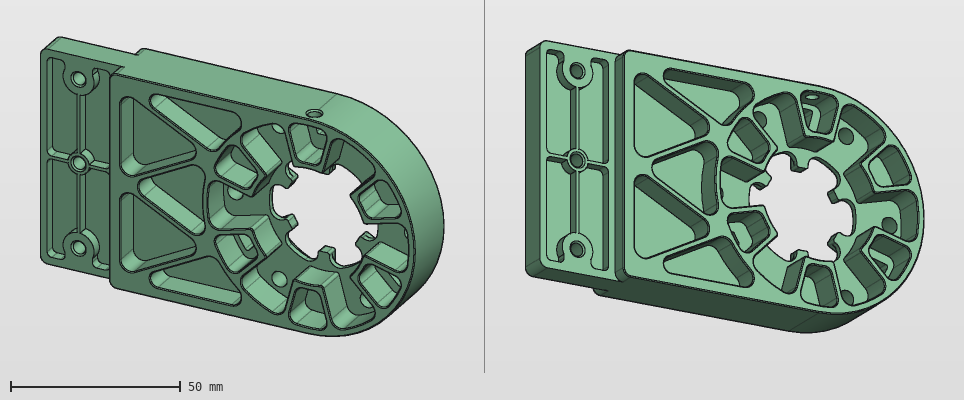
import cadquery as cq
import math


LENGTH = 127.0
HEIGHT = 71.1
THICKNESS = 19.0
HUB_RADIUS = HEIGHT / 2
LEFT_END = HUB_RADIUS - LENGTH
FRONT = -THICKNESS / 2
BACK = THICKNESS / 2
CORNER_RADIUS = 2.5
EDGE_CHAMFER = 0.32
WALL = 1.9

TAB_LENGTH = 25.4
TAB_THICKNESS = 8.9
TAB_FRONT = -TAB_THICKNESS / 2
TAB_BACK = TAB_THICKNESS / 2
TAB_POCKET_DEPTH = 3.4
TAB_HOLE_X = LEFT_END + TAB_LENGTH / 2
TAB_HOLE_PITCH = 28.0
SCREW_DIAMETER = 4.1
COUNTERSINK_DIAMETER = 5.1
COUNTERSINK_DEPTH = (COUNTERSINK_DIAMETER - SCREW_DIAMETER) / 2
END_BOSS_DIAMETER = 10.3
MIDDLE_BOSS_DIAMETER = 7.1
TAB_RIB = 1.0
TAB_POCKET_HALF_SPAN = 10.4
TAB_POCKET_TOP = 33.0
TAB_NECK_HALF_WIDTH = 4.6
TAB_POCKET_RADIUS = 1.5

RECESS_RADIUS = 33.3
RECESS_DEPTH = 10.2
RECESS_FLOOR = FRONT + RECESS_DEPTH
RECESS_CORNER_RADIUS = 3.2
SOCKET_COUNT = 6
SOCKET_STEP = 360 / SOCKET_COUNT
SOCKET_HALF_ANGLE = 15.0
SOCKET_CORNER_RADIUS = 2.5
BLOCK_INNER_RADIUS = 19.0
BLOCK_CORNER_RADIUS = 1.0
LOBE_INNER_RADIUS = 1.3
BORE_RADIUS = 18.0
BORE_CORNER_RADIUS = 3.2
TOOTH_TIP_RADIUS = 13.0
TOOTH_WIDTH = 3.8
TOOTH_TIP_FILLET = 0.8
TOOTH_THICKNESS = 3.8
HUB_WEB = 1.9
COUNTERBORE_DIAMETER = 45.7
BOLT_CIRCLE_RADIUS = 29.3
BOLT_DIAMETER = 5.1

WINDOW_INNER_RADIUS = 25.8
WINDOW_OUTER_RADIUS = 31.6
WINDOW_SIDE_INSET = 4.7
WINDOW_CORNER_RADIUS = 0.8
WINDOW_ANGLES = (90, 210, 330)

TRIANGLE_DEPTH = 8.3
TRIANGLE_CORNER_RADIUS = 3.2
TRUSS_SLOPE = math.tan(math.radians(27.6))
RIB_RISE = WALL * math.hypot(1, TRUSS_SLOPE)
SIDE_TRIANGLE_LEFT = LEFT_END + 29.2
SIDE_TRIANGLE_APEX = LEFT_END + 57.8
SIDE_TRIANGLE_Z = 15.9
TRIANGLE_TOP = 31.9
OUTER_TIP_RADIUS = 2.5

CROSS_HOLE_Y = -5.2
CROSS_HOLE_BOTTOM = RECESS_RADIUS - WALL


def front_plane(y):
    return cq.Workplane("XZ", origin=(0, y, 0))


def cylinder(x, z, diameter, y_front, y_back):
    return front_plane(y_back).center(x, z).circle(diameter / 2).extrude(y_back - y_front)


def box(x_min, x_max, z_min, z_max, y_front, y_back):
    size = (x_max - x_min, y_back - y_front, z_max - z_min)
    return cq.Workplane("XY", origin=(x_min, y_front, z_min)).box(*size, centered=False)


def prism(points, y_front, y_back):
    return front_plane(y_back).polyline(points).close().extrude(y_back - y_front)


def turned(solid, angle):
    """Turn a solid from the +X direction to the given angle, counted toward +Z."""
    return solid.rotate((0, 0, 0), (0, 1, 0), -angle)


def fillet_at_radius(solid, radius, fillet_radius):
    """Round the edges along Y that lie at the given distance from the hub axis."""
    corners = [
        edge
        for edge in solid.edges("|Y").vals()
        if abs(math.hypot(edge.Center().x, edge.Center().z) - radius) < 0.1
    ]
    return solid.newObject(corners).fillet(fillet_radius)


def wedge(half_angle, inset, r_inner, r_outer, y_front, y_back):
    """Ring sector about +X whose two straight sides are moved inward by inset."""
    apex = inset / math.sin(math.radians(half_angle))
    reach = 2 * r_outer
    rise = (reach - apex) * math.tan(math.radians(half_angle))
    sector = prism([(apex, 0), (reach, rise), (reach, -rise)], y_front, y_back)
    sector = sector.intersect(cylinder(0, 0, 2 * r_outer, y_front, y_back))
    return sector.cut(cylinder(0, 0, 2 * r_inner, y_front, y_back))


def make_body_blank():
    body = box(LEFT_END + TAB_LENGTH, 0, -HEIGHT / 2, HEIGHT / 2, FRONT, BACK)
    body = body.edges("|Y and <X").fillet(CORNER_RADIUS)
    return body.union(cylinder(0, 0, HEIGHT, FRONT, BACK))


def make_tab_blank():
    right_end = LEFT_END + TAB_LENGTH + CORNER_RADIUS
    tab = box(LEFT_END, right_end, -HEIGHT / 2, HEIGHT / 2, TAB_FRONT, TAB_BACK)
    return tab.edges("|Y and <X").fillet(CORNER_RADIUS)


def make_hub_recess():
    recess = cylinder(0, 0, 2 * BLOCK_INNER_RADIUS, FRONT, RECESS_FLOOR)
    lobe = wedge(SOCKET_HALF_ANGLE, 0, LOBE_INNER_RADIUS, RECESS_RADIUS, FRONT, RECESS_FLOOR)
    lobe = lobe.edges("|Y").edges(">X").fillet(RECESS_CORNER_RADIUS)
    for index in range(SOCKET_COUNT):
        recess = recess.union(turned(lobe, index * SOCKET_STEP))
    return fillet_at_radius(recess, BLOCK_INNER_RADIUS, BLOCK_CORNER_RADIUS)


def make_sockets():
    inner_radius = BLOCK_INNER_RADIUS + WALL
    socket = wedge(SOCKET_HALF_ANGLE, WALL, inner_radius, RECESS_RADIUS, FRONT, RECESS_FLOOR)
    socket = socket.edges("|Y").fillet(SOCKET_CORNER_RADIUS)
    sockets = cq.Workplane()
    for index in range(SOCKET_COUNT):
        sockets = sockets.add(turned(socket, (index + 0.5) * SOCKET_STEP))
    return sockets.combine()


def make_toothed_bore(radius, y_front, y_back):
    """Round bore that leaves a tooth standing at every socket."""
    bore = cylinder(0, 0, 2 * radius, y_front, y_back)
    tooth = box(0, HUB_RADIUS, -TOOTH_WIDTH / 2, TOOTH_WIDTH / 2, y_front, y_back)
    tooth = tooth.cut(cylinder(0, 0, 2 * TOOTH_TIP_RADIUS, y_front, y_back))
    tooth = tooth.edges("|Y").edges("<X").fillet(TOOTH_TIP_FILLET)
    for index in range(SOCKET_COUNT):
        bore = bore.cut(turned(tooth, (index + 0.5) * SOCKET_STEP))
    return fillet_at_radius(bore, radius, BORE_CORNER_RADIUS)


def make_windows():
    window = wedge(
        SOCKET_HALF_ANGLE, WINDOW_SIDE_INSET, WINDOW_INNER_RADIUS, WINDOW_OUTER_RADIUS, FRONT, BACK
    )
    window = window.edges("|Y").fillet(WINDOW_CORNER_RADIUS)
    windows = cq.Workplane()
    for angle in WINDOW_ANGLES:
        windows = windows.add(turned(window, angle))
    return windows.combine()


def make_triangles():
    floor = FRONT + TRIANGLE_DEPTH
    ring = cylinder(0, 0, 2 * (RECESS_RADIUS + WALL), FRONT, floor)

    side_half = (SIDE_TRIANGLE_APEX - SIDE_TRIANGLE_LEFT) * TRUSS_SLOPE
    side_points = [
        (SIDE_TRIANGLE_APEX, SIDE_TRIANGLE_Z),
        (SIDE_TRIANGLE_LEFT, SIDE_TRIANGLE_Z + side_half),
        (SIDE_TRIANGLE_LEFT, SIDE_TRIANGLE_Z - side_half),
    ]
    side = prism(side_points, FRONT, floor)
    side = side.edges("|Y").fillet(TRIANGLE_CORNER_RADIUS)

    middle_apex = SIDE_TRIANGLE_APEX - (SIDE_TRIANGLE_Z - RIB_RISE) / TRUSS_SLOPE
    middle_half = -middle_apex * TRUSS_SLOPE
    middle = prism([(middle_apex, 0), (0, middle_half), (0, -middle_half)], FRONT, floor).cut(ring)
    middle = middle.edges("|Y").fillet(TRIANGLE_CORNER_RADIUS)

    outer_apex = SIDE_TRIANGLE_APEX + (SIDE_TRIANGLE_Z + RIB_RISE - TRIANGLE_TOP) / TRUSS_SLOPE
    outer_drop = TRIANGLE_TOP + outer_apex * TRUSS_SLOPE
    outer_points = [(outer_apex, TRIANGLE_TOP), (0, TRIANGLE_TOP), (0, outer_drop)]
    outer = prism(outer_points, FRONT, floor).cut(ring)
    outer = outer.edges("|Y").edges("<X").fillet(OUTER_TIP_RADIUS)
    outer = outer.edges("|Y").edges(">X or <Z").fillet(TRIANGLE_CORNER_RADIUS)

    pockets = cq.Workplane().add(middle)
    for pocket in (side, outer):
        pockets = pockets.add(pocket).add(pocket.mirror("XY"))
    return pockets.combine()


def make_tab_pockets():
    floor = TAB_FRONT + TAB_POCKET_DEPTH
    rib_side = TAB_HOLE_X + TAB_RIB / 2
    outer_side = TAB_HOLE_X + TAB_POCKET_HALF_SPAN
    neck_side = TAB_HOLE_X + TAB_NECK_HALF_WIDTH
    pocket = box(rib_side, outer_side, TAB_RIB / 2, TAB_POCKET_TOP, TAB_FRONT, floor)
    pocket = pocket.cut(box(rib_side, neck_side, TAB_HOLE_PITCH, HEIGHT, TAB_FRONT, floor))
    pocket = pocket.edges("|Y").edges(">X or >Z").fillet(TAB_POCKET_RADIUS)
    pocket = pocket.cut(cylinder(TAB_HOLE_X, TAB_HOLE_PITCH, END_BOSS_DIAMETER, TAB_FRONT, floor))
    pocket = pocket.cut(cylinder(TAB_HOLE_X, 0, MIDDLE_BOSS_DIAMETER, TAB_FRONT, floor))
    pair = pocket.union(pocket.mirror("YZ", (TAB_HOLE_X, 0, 0)))
    return pair.union(pair.mirror("XY"))


def make_bolt_holes():
    holes = cq.Workplane()
    for index in range(SOCKET_COUNT):
        angle = math.radians(index * SOCKET_STEP)
        x = BOLT_CIRCLE_RADIUS * math.cos(angle)
        z = BOLT_CIRCLE_RADIUS * math.sin(angle)
        holes = holes.add(cylinder(x, z, BOLT_DIAMETER, FRONT, BACK))
    return holes.combine()


def countersunk_hole(mouth_plane, depth):
    """Screw hole with a conical mouth; the plane's normal points out of the material."""
    hole = mouth_plane.circle(SCREW_DIAMETER / 2).extrude(-depth)
    cone = (
        mouth_plane.circle(COUNTERSINK_DIAMETER / 2)
        .workplane(offset=-COUNTERSINK_DEPTH)
        .circle(SCREW_DIAMETER / 2)
        .loft()
    )
    return hole.union(cone)


body = make_body_blank()
body = body.cut(make_triangles())
body = body.cut(make_hub_recess())
body = body.cut(make_sockets())
body = body.faces("<Y or >Y").edges().chamfer(EDGE_CHAMFER)

tab = make_tab_blank().cut(make_tab_pockets())
result = body.union(tab)

result = result.cut(make_toothed_bore(BORE_RADIUS, FRONT, BACK))
result = result.cut(make_toothed_bore(COUNTERBORE_DIAMETER / 2, RECESS_FLOOR + HUB_WEB, BACK))
result = result.cut(cylinder(0, 0, COUNTERBORE_DIAMETER, RECESS_FLOOR + TOOTH_THICKNESS, BACK))
result = result.cut(make_windows())
result = result.cut(make_bolt_holes())

for z in (-TAB_HOLE_PITCH, 0, TAB_HOLE_PITCH):
    tab_mouth = cq.Workplane("XZ", origin=(TAB_HOLE_X, TAB_FRONT, z))
    result = result.cut(countersunk_hole(tab_mouth, TAB_THICKNESS))
cross_mouth = cq.Workplane("XY", origin=(0, CROSS_HOLE_Y, HUB_RADIUS))
result = result.cut(countersunk_hole(cross_mouth, HUB_RADIUS - CROSS_HOLE_BOTTOM))